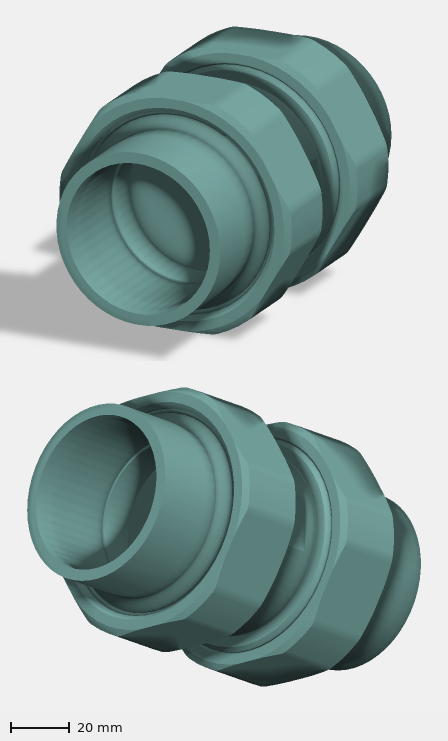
import cadquery as cq
import math


overall_length = 132.9
end_y = overall_length / 2

across_flats = 82.8
nut_corner_diameter = 87.9
hexagon_turn = 30.0
flat_blend_radius = 8.0
nut_inner_y = 12.2
nut_outer_y = 38.8
nut_chamfer_length = 1.3
nut_chamfer_angle = 30.0
nut_chamfer_width = nut_chamfer_length / math.tan(math.radians(nut_chamfer_angle))
thread_diameter = 74.8
mouth_diameter = 76.0
lip_diameter = 72.6
lip_length = 0.7
mouth_depth = (mouth_diameter - thread_diameter) / 2
funnel_depth = (mouth_diameter - lip_diameter) / 2
lip_outer_y = nut_outer_y - funnel_depth
lip_inner_y = lip_outer_y - lip_length

waist_diameter = 64.0
collar_inner_y = 10.8
collar_outer_y = 20.0
collar_chamfer = 1.5
collar_fillet = 0.4
flat_half_height = 9.8
flat_length = 15.8
flat_center_y = 1.5

pipe_diameter = 62.0
socket_diameter = 54.1
bore_diameter = 52.1
seat_diameter = 69.7
flange_diameter = 72.8
cone_outer_y = 40.0
cone_length = (seat_diameter - pipe_diameter) / 2
socket_depth = 34.2

ring_outer_diameter = 73.6
wire_radius = (ring_outer_diameter - seat_diameter) / 4
ring_radius = seat_diameter / 2 + wire_radius
ring_gap_angle = 29.0
ring_gap_center_angle = 45.0
ring_y = lip_inner_y - wire_radius
flange_outer_y = ring_y - wire_radius


def revolve_about_y(points):
    """Solid of revolution about Y from (radius, y) points."""
    return cq.Workplane("XY").polyline(points).close().revolve(360, (0, 0, 0), (0, 1, 0))


def make_ring():
    """Round-wire snap ring with an opening towards +X +Z."""
    start_angle = ring_gap_center_angle - ring_gap_angle / 2
    ring = (
        cq.Workplane("XY")
        .center(ring_radius, ring_y)
        .circle(wire_radius)
        .revolve(360 - ring_gap_angle, (-ring_radius, 0, 0), (-ring_radius, 1, 0))
    )
    return ring.rotate((0, 0, 0), (0, 1, 0), -start_angle)


def make_nut():
    """Hexagon nut with rounded, chamfered corners and a lip that holds the snap ring."""
    length = nut_outer_y - nut_inner_y
    corner_radius = nut_corner_diameter / 2
    hexagon = (
        cq.Workplane("XZ", origin=(0, nut_outer_y, 0))
        .polygon(6, across_flats, circumscribed=True)
        .extrude(length)
        .rotate((0, 0, 0), (0, 1, 0), hexagon_turn)
    )
    rounding = cq.Workplane("XZ", origin=(0, nut_outer_y, 0)).circle(corner_radius).extrude(length)
    blank = hexagon.intersect(rounding).edges("|Y").fillet(flat_blend_radius)

    face_radius = corner_radius - nut_chamfer_width
    chamfer_envelope = revolve_about_y([
        (0, nut_inner_y),
        (face_radius, nut_inner_y),
        (corner_radius, nut_inner_y + nut_chamfer_length),
        (corner_radius, nut_outer_y - nut_chamfer_length),
        (face_radius, nut_outer_y),
        (0, nut_outer_y),
    ])
    cavity = revolve_about_y([
        (0, nut_inner_y),
        (mouth_diameter / 2, nut_inner_y),
        (thread_diameter / 2, nut_inner_y + mouth_depth),
        (thread_diameter / 2, lip_inner_y),
        (lip_diameter / 2, lip_inner_y),
        (lip_diameter / 2, lip_outer_y),
        (mouth_diameter / 2, nut_outer_y),
        (0, nut_outer_y),
    ])
    return blank.intersect(chamfer_envelope).cut(cavity)


def make_tail():
    """Pipe with a socket at its outer end and a flange behind the snap ring."""
    socket_floor_y = end_y - socket_depth
    return revolve_about_y([
        (bore_diameter / 2, collar_outer_y),
        (flange_diameter / 2, collar_outer_y),
        (flange_diameter / 2, flange_outer_y),
        (seat_diameter / 2, flange_outer_y),
        (seat_diameter / 2, cone_outer_y - cone_length),
        (pipe_diameter / 2, cone_outer_y),
        (pipe_diameter / 2, end_y),
        (socket_diameter / 2, end_y),
        (socket_diameter / 2, socket_floor_y),
        (bore_diameter / 2, socket_floor_y),
    ])


def make_body():
    """Solid waist between two collars, with a wrench flat on each X side."""
    waist_radius = waist_diameter / 2
    waist = cq.Workplane("XZ", origin=(0, collar_outer_y, 0)).circle(waist_radius).extrude(2 * collar_outer_y)
    collar_radius = thread_diameter / 2
    collar = (
        cq.Workplane("XY")
        .moveTo(0, collar_outer_y)
        .lineTo(collar_radius, collar_outer_y)
        .lineTo(collar_radius, collar_inner_y + collar_chamfer)
        .lineTo(collar_radius - collar_chamfer, collar_inner_y)
        .lineTo(waist_radius + collar_fillet, collar_inner_y)
        .radiusArc((waist_radius, collar_inner_y - collar_fillet), -collar_fillet)
        .lineTo(0, collar_inner_y - collar_fillet)
        .close()
        .revolve(360, (0, 0, 0), (0, 1, 0))
    )
    body = waist.union(collar).union(collar.mirror("XZ"))

    flat_x = math.sqrt(waist_radius**2 - flat_half_height**2)
    for side in (-1, 1):
        cutter = cq.Workplane("XY").box(waist_radius, flat_length, waist_diameter)
        body = body.cut(cutter.translate((side * (flat_x + waist_radius / 2), flat_center_y, 0)))
    return body


end_bodies = []
for make_end_body in (make_nut, make_tail, make_ring):
    end_body = make_end_body()
    end_bodies.append(end_body.val())
    end_bodies.append(end_body.mirror("XZ").val())

body = make_body()
result = cq.Compound.makeCompound([body.val(), *end_bodies])